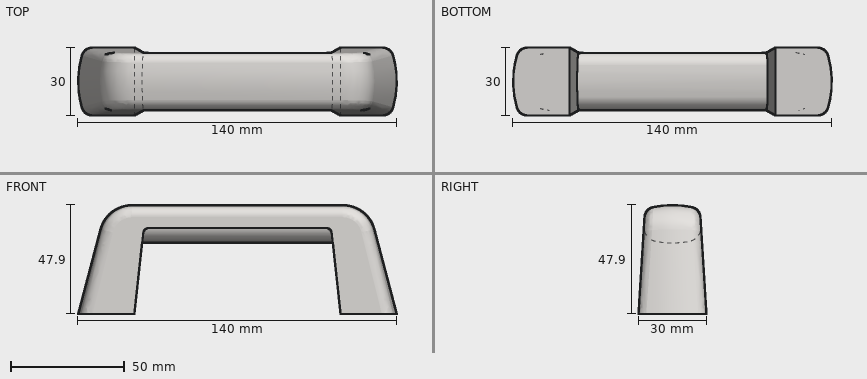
import cadquery as cq
import math

length = 140.0
base_width = 30.0
height = 47.9

end_lean = 14.8
side_draft = 3.55
bend_radius = 14.5
crown_radius = 42.0
top_edge_radius = 5.0

opening_base = 90.5
opening_lean = 6.2
side_opening_top = 37.8
opening_corner_radius = 2.5

grip_bottom = 31.2
grip_edge_radius = 6.6

overrun = 14.0
skin_depth = 11.2
core_inset = 8.4
overlap = 2.8

end_slope = math.tan(math.radians(end_lean))
opening_slope = math.tan(math.radians(opening_lean))
side_slope = math.tan(math.radians(side_draft))


def crown_drop(half_width):
    """Fall of the crown from its middle to a given half width."""
    return crown_radius - math.sqrt(crown_radius**2 - half_width**2)


def half_width_at(z):
    """Half width between the drafted sides at a given height."""
    return base_width / 2 - z * side_slope


def frame_prism(bottom_half_length, bottom, top, slope, depth):
    """Prism across the handle with a symmetric trapezoid profile."""
    top_half_length = bottom_half_length - (top - bottom) * slope
    return (
        cq.Workplane("XZ")
        .polyline([
            (-bottom_half_length, bottom),
            (-top_half_length, top),
            (top_half_length, top),
            (bottom_half_length, bottom),
        ])
        .close()
        .extrude(depth / 2, both=True)
    )


def crowned_skin():
    """Crowned section swept down one end, along the top and down the other end."""
    bend_run = bend_radius * math.tan(math.radians(90 - end_lean) / 2)
    top_end = length / 2 - height * end_slope - bend_run
    lean = math.radians(end_lean)
    center_z = height - bend_radius
    end_x = top_end + bend_radius * math.cos(lean)
    end_z = center_z + bend_radius * math.sin(lean)
    middle_angle = (lean + math.pi / 2) / 2
    middle_x = top_end + bend_radius * math.cos(middle_angle)
    middle_z = center_z + bend_radius * math.sin(middle_angle)
    foot_x = length / 2 + overrun * end_slope

    path = (
        cq.Workplane("XZ")
        .moveTo(-foot_x, -overrun)
        .lineTo(-end_x, end_z)
        .threePointArc((-middle_x, middle_z), (-top_end, height))
        .lineTo(top_end, height)
        .threePointArc((middle_x, middle_z), (end_x, end_z))
        .lineTo(foot_x, -overrun)
    )

    half_width = half_width_at(-overrun) + overlap
    start = cq.Plane(
        origin=(-foot_x, 0, -overrun),
        xDir=(0, 1, 0),
        normal=(math.sin(lean), 0, math.cos(lean)),
    )
    drop = crown_drop(half_width)
    return (
        cq.Workplane(start)
        .moveTo(-half_width, -skin_depth)
        .lineTo(-half_width, -drop)
        .threePointArc((0, 0), (half_width, -drop))
        .lineTo(half_width, -skin_depth)
        .close()
        .sweep(path)
    )


def drafted_envelope():
    """Prism along the handle bounded by the drafted sides."""
    top = height + overrun
    low_half = half_width_at(-overrun)
    high_half = half_width_at(top)
    return (
        cq.Workplane("YZ")
        .polyline([(-low_half, -overrun), (-high_half, top), (high_half, top), (low_half, -overrun)])
        .close()
        .extrude(length, both=True)
    )


def outer_body():
    """Solid outer form with rounded long edges and a flat base."""
    core_bottom_half = length / 2 + overrun * end_slope - core_inset / math.cos(math.radians(end_lean))
    core = frame_prism(core_bottom_half, -overrun, height - core_inset, end_slope, 2 * base_width)
    body = crowned_skin().union(core).intersect(drafted_envelope())
    back_edges = body.faces(">Y").edges("not(<Z)")
    front_edges = body.faces("<Y").edges("not(<Z)")
    rounded = back_edges.add(front_edges).fillet(top_edge_radius)
    trim = cq.Workplane("XY").box(2 * length, 2 * base_width, height * 2, centered=(True, True, False))
    return rounded.intersect(trim)


def opening():
    """Space between the legs, with its upper corners rounded."""
    prism = frame_prism(opening_base / 2, 0, side_opening_top, opening_slope, 2 * base_width)
    return prism.edges("|Y and >Z").fillet(opening_corner_radius)


def grip_underside():
    """Lower part of the grip: crowned bottom with large rounded edges."""
    top = side_opening_top + overlap
    top_half = half_width_at(top)
    corner_half = half_width_at(grip_bottom + crown_drop(half_width_at(grip_bottom)))
    corner_z = grip_bottom + crown_drop(corner_half)
    return (
        cq.Workplane("YZ")
        .moveTo(-top_half, top)
        .lineTo(-corner_half, corner_z)
        .threePointArc((0, grip_bottom), (corner_half, corner_z))
        .lineTo(top_half, top)
        .close()
        .extrude(opening_base / 2 - grip_bottom * opening_slope, both=True)
        .edges("|X and (not >Z)")
        .fillet(grip_edge_radius)
    )


result = outer_body().cut(opening()).union(grip_underside())